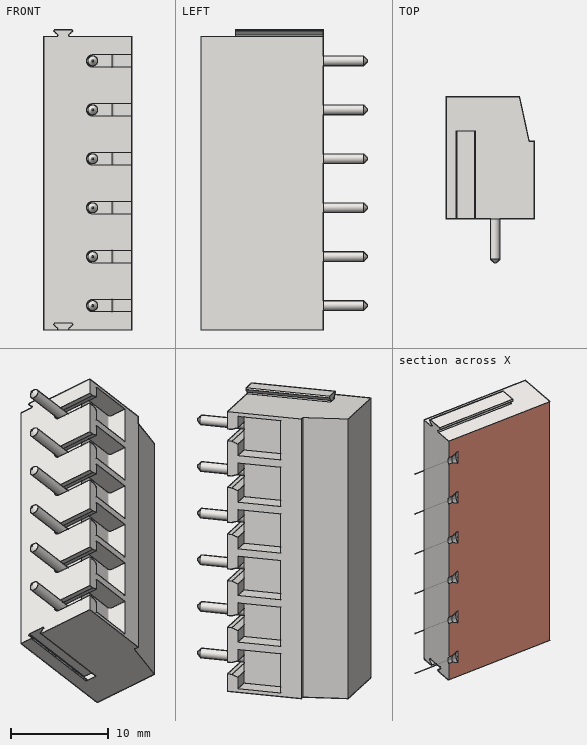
import cadquery as cq

TOTAL_HEIGHT = 30.7
RAIL_HEIGHT = 0.7
HOUSING_HEIGHT = TOTAL_HEIGHT - RAIL_HEIGHT
HOUSING_WIDTH = 9.0
HOUSING_DEPTH = 12.5
LEDGE_DEPTH = 7.95
LEDGE_STEP = 0.52
BACK_WIDTH = 7.5

POLE_COUNT = 6
POLE_PITCH = HOUSING_HEIGHT / POLE_COUNT
PIN_X = 5.0
PIN_DIAMETER = 1.0
PIN_LENGTH = 4.5
PIN_ROOT_DEPTH = 3.07
TIP_LENGTH = 0.4
TIP_DIAMETER = 0.18

SLOT_WIDTH = 1.25
SLOT_X = 5.0
STRAIGHT_DEPTH = 0.5
SLOT_DEPTH = 1.15
FLARE = 0.25

CHAMBER_X = 7.0
CHAMBER_HEIGHT = 4.2
CHAMBER_DEPTH = 4.6
CHAMBER_FILLET = 0.28

DOVETAIL_X = 2.0
DOVETAIL_LENGTH = 9.0
TOP_HALF_WIDTH = 0.9
WIDEST_HALF_WIDTH = 0.98
WIDEST_HEIGHT = 0.55
NECK_HALF_WIDTH = 0.52
NECK_HEIGHT = 0.12
BASE_HALF_WIDTH = 0.65


def make_housing():
    outline = [
        (0, 0),
        (HOUSING_WIDTH, 0),
        (HOUSING_WIDTH, LEDGE_DEPTH),
        (HOUSING_WIDTH - LEDGE_STEP, LEDGE_DEPTH),
        (BACK_WIDTH, HOUSING_DEPTH),
        (0, HOUSING_DEPTH),
    ]
    return cq.Workplane("XY").polyline(outline).close().extrude(HOUSING_HEIGHT)


def make_dovetail(base_z):
    """Dovetail bar that starts at the pin face, with its base at height base_z."""
    right_side = [
        (BASE_HALF_WIDTH, 0),
        (NECK_HALF_WIDTH, NECK_HEIGHT),
        (WIDEST_HALF_WIDTH, WIDEST_HEIGHT),
        (TOP_HALF_WIDTH, RAIL_HEIGHT),
    ]
    left_side = [(-x, z) for x, z in reversed(right_side)]
    plane = cq.Plane((DOVETAIL_X, 0, base_z), xDir=(1, 0, 0), normal=(0, -1, 0))
    return cq.Workplane(plane).polyline(right_side + left_side).close().extrude(-DOVETAIL_LENGTH)


def make_slot(pole_z):
    """Slot with one round end, open on the +X side and flared towards its floor."""
    run = HOUSING_WIDTH - SLOT_X

    def outline(depth, half_width):
        plane = cq.Plane((SLOT_X, depth, pole_z), xDir=(1, 0, 0), normal=(0, -1, 0))
        return (
            cq.Workplane(plane)
            .moveTo(run, -half_width)
            .lineTo(0, -half_width)
            .threePointArc((-half_width, 0), (0, half_width))
            .lineTo(run, half_width)
            .close()
        )

    half_width = SLOT_WIDTH / 2
    straight = outline(0, half_width).extrude(-STRAIGHT_DEPTH)
    wires = [
        outline(STRAIGHT_DEPTH, half_width).val(),
        outline(SLOT_DEPTH, half_width + FLARE).val(),
    ]
    flared = cq.Workplane(cq.Solid.makeLoft(wires, True))
    return straight.union(flared)


def make_chamber(pole_z):
    """Box-shaped wire chamber behind the slot, with its inner back corner rounded."""
    return (
        cq.Workplane("XY", origin=(CHAMBER_X, SLOT_DEPTH, pole_z - CHAMBER_HEIGHT / 2))
        .rect(HOUSING_WIDTH - CHAMBER_X, CHAMBER_DEPTH, centered=False)
        .extrude(CHAMBER_HEIGHT)
        .edges("|Z and <X and >Y")
        .fillet(CHAMBER_FILLET)
    )


def make_pin(pole_z):
    """Pin rooted in the housing behind the slot floor, with a conical tip."""
    radius = PIN_DIAMETER / 2
    profile = [
        (0, PIN_ROOT_DEPTH),
        (radius, PIN_ROOT_DEPTH),
        (radius, -PIN_LENGTH + TIP_LENGTH),
        (TIP_DIAMETER / 2, -PIN_LENGTH),
        (0, -PIN_LENGTH),
    ]
    pin = cq.Workplane("XY").polyline(profile).close().revolve(360, (0, 0), (0, 1))
    return pin.translate((PIN_X, 0, pole_z))


result = make_housing().union(make_dovetail(HOUSING_HEIGHT)).cut(make_dovetail(0))

for pole in range(POLE_COUNT):
    pole_z = (pole + 0.5) * POLE_PITCH
    result = result.cut(make_slot(pole_z)).cut(make_chamber(pole_z)).union(make_pin(pole_z))